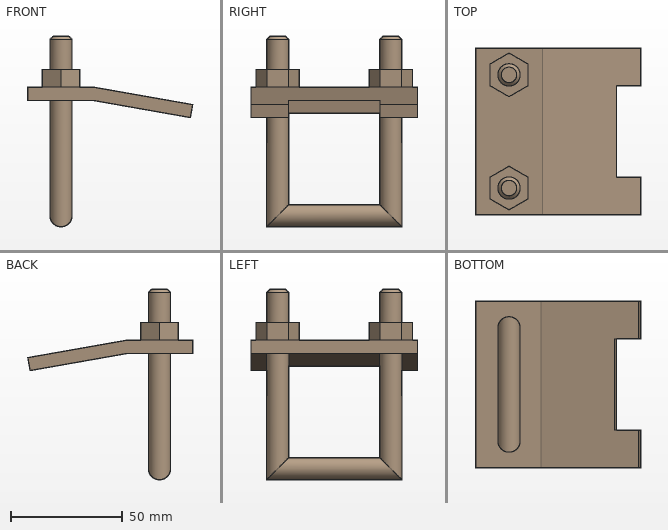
import cadquery as cq
import math

plate_width = 75.0
plate_thickness = 6.0
flat_length = 30.0
slope_length = 45.0
bend_angle = math.radians(10)

notch_width = 41.1
notch_depth = 11.0

total_height = 85.9
rod_diameter = 10.05
rod_spacing = 50.9
rod_projection = 23.0
rod_chamfer = 1.55

nut_across_flats = 17.0
nut_height = 8.0

rod_x = flat_length / 2
half_spacing = rod_spacing / 2
crossbar_z = rod_projection - total_height + rod_diameter / 2

along_x, along_z = math.cos(bend_angle), -math.sin(bend_angle)
inward_x, inward_z = along_z, -along_x


def make_plate():
    """Plate with constant thickness on both sides of the bend."""
    bottom_bend_x = flat_length - plate_thickness * math.tan(bend_angle / 2)
    tip_x = flat_length + slope_length * along_x
    tip_z = slope_length * along_z
    tip_bottom = (tip_x + plate_thickness * inward_x, tip_z + plate_thickness * inward_z)
    return (
        cq.Workplane("XZ")
        .moveTo(0, 0)
        .lineTo(flat_length, 0)
        .lineTo(tip_x, tip_z)
        .lineTo(*tip_bottom)
        .lineTo(bottom_bend_x, -plate_thickness)
        .lineTo(0, -plate_thickness)
        .close()
        .extrude(plate_width / 2, both=True)
    )


def make_notch():
    """Cutter square to the sloped face, centred on the end edge of that face."""
    slope_end = (flat_length + slope_length * along_x, 0, slope_length * along_z)
    slope_face = cq.Plane(
        origin=slope_end, xDir=(along_x, 0, along_z), normal=(-inward_x, 0, -inward_z)
    )
    return cq.Workplane(slope_face).box(2 * notch_depth, notch_width, 3 * plate_thickness)


def make_u_bolt():
    """Round rod with mitred lower corners and chamfered upper ends."""
    path = cq.Workplane("YZ", origin=(rod_x, 0, 0)).polyline([
        (-half_spacing, rod_projection),
        (-half_spacing, crossbar_z),
        (half_spacing, crossbar_z),
        (half_spacing, rod_projection),
    ])
    return (
        cq.Workplane("XY", origin=(rod_x, -half_spacing, rod_projection))
        .circle(rod_diameter / 2)
        .sweep(path, transition="right")
        .faces(">Z")
        .chamfer(rod_chamfer)
    )


def make_nut(y):
    """Hexagon nut resting on the plate, with corners pointing along Y."""
    across_corners = nut_across_flats / math.cos(math.pi / 6)
    return (
        cq.Workplane("XY")
        .polygon(6, across_corners)
        .extrude(nut_height)
        .rotate((0, 0, 0), (0, 0, 1), 90)
        .translate((rod_x, y, 0))
    )


result = make_plate().cut(make_notch()).union(make_u_bolt())
for nut_y in (-half_spacing, half_spacing):
    result = result.union(make_nut(nut_y))